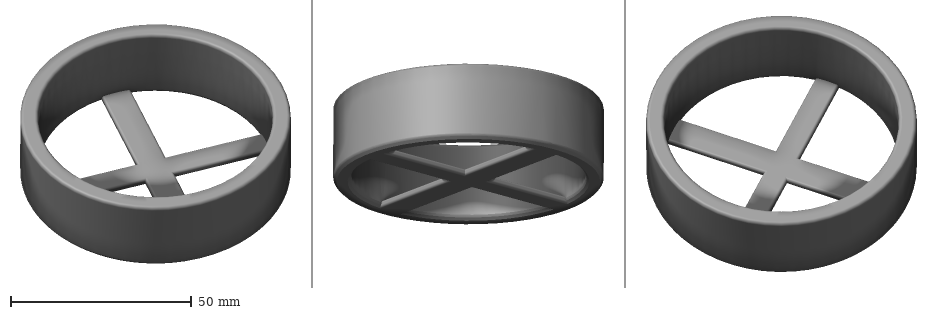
import cadquery as cq

OUTER_DIAMETER = 75.0
INNER_DIAMETER = 65.0
HEIGHT = 22.0
RIM_FILLET = 1.0
BASE_CHAMFER = 1.0
BASE_BLEND_RADIUS = 1.0

X_BAR_WIDTH = 8.5
Y_BAR_WIDTH = 7.0
BAR_THICKNESS = 2.0
BAR_FILLET = 0.75

OUTER_RADIUS = OUTER_DIAMETER / 2
INNER_RADIUS = INNER_DIAMETER / 2
BAR_LENGTH = OUTER_RADIUS + INNER_RADIUS


def make_ring():
    """Ring with rounded top edges and blended chamfers on both bottom edges."""
    ring = cq.Workplane("XY").circle(OUTER_RADIUS).circle(INNER_RADIUS).extrude(HEIGHT)
    ring = ring.faces(">Z").edges().fillet(RIM_FILLET)
    ring = ring.faces("<Z").edges().chamfer(BASE_CHAMFER)
    chamfer_tops = ring.faces("%CONE").edges(">Z")
    return chamfer_tops.fillet(BASE_BLEND_RADIUS)


def make_cross():
    """Two crossing bars with rounded top and bottom edges."""
    x_bar = cq.Workplane("XY").rect(BAR_LENGTH, X_BAR_WIDTH).extrude(BAR_THICKNESS)
    y_bar = cq.Workplane("XY").rect(Y_BAR_WIDTH, BAR_LENGTH).extrude(BAR_THICKNESS)
    cross = x_bar.union(y_bar)
    return cross.faces("|Z").edges().fillet(BAR_FILLET)


result = make_ring().union(make_cross())